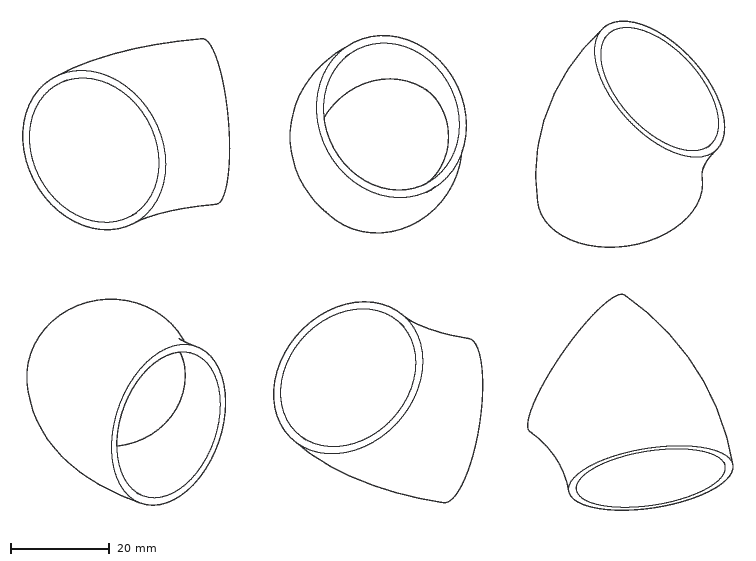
import cadquery as cq

outer_diameter = 33.7
wall_thickness = 1.6
bend_radius = 37.98
bend_angle = 45

outer_radius = outer_diameter / 2
inner_radius = outer_radius - wall_thickness

inlet_ring = cq.Workplane("XZ").circle(outer_radius).circle(inner_radius)
axis_start = (bend_radius, 0.4)
axis_end = (bend_radius, 0)

result = inlet_ring.revolve(bend_angle, axis_start, axis_end)